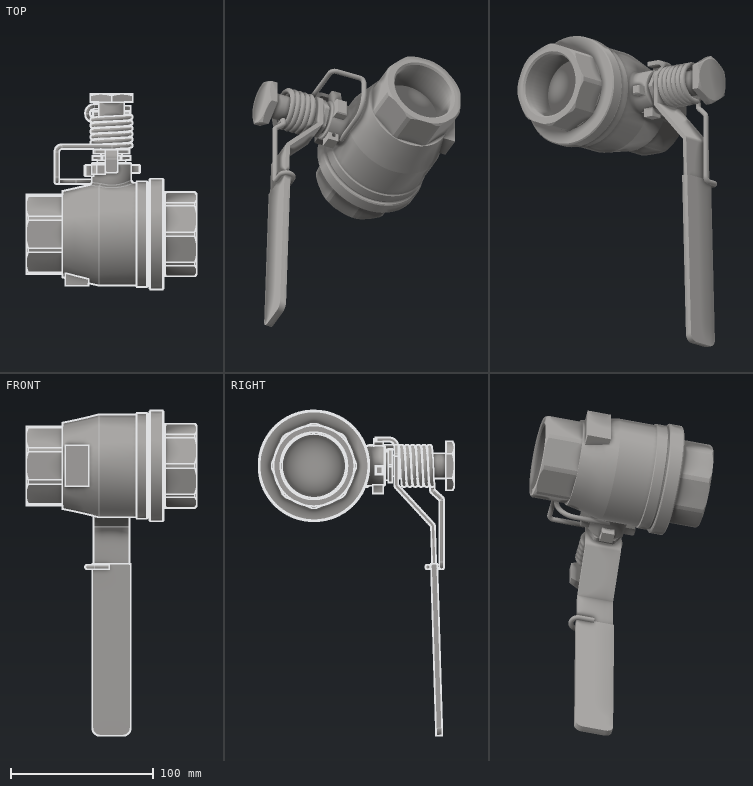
import cadquery as cq
import math


half_length = 60.0
octagon_width = 56.0
octagon_corner_radius = 29.7
octagon_half_step = 180 / 8
end_chamfer = 1.4
cone_start_x = -34.5
cone_start_radius = 30.4
barrel_start_x = -8.9
barrel_diameter = 72.5
ring_start_x = 17.3
ring_end_x = 25.5
ring_diameter = 74.5
ring_chamfer = 0.6
flange_start_x = 26.6
flange_end_x = 36.7
flange_diameter = 78.0
flange_chamfer = 0.8
neck_end_x = 37.9
neck_diameter = 57.0
bore_diameter = 44.85
bore_mouth_diameter = 47.3
bore_depth = 27.0

pad_start_x = -32.6
pad_end_x = -16.0
pad_half_height = 14.4
pad_face_y = -36.3

boss_diameter = 28.0
boss_top_y = 50.1
boss_root_fillet = 2.0
boss_top_chamfer = 0.6
lug_outer_y = 48.8
wing_half_height = 6.2
left_wing_end_x = -19.0
left_wing_inner_y = 40.6
right_wing_end_x = 20.3
right_wing_inner_y = 43.0
wing_chamfer = 0.8
stop_lug_foot_x = -boss_diameter / 2
stop_lug_start_x = -10.3
stop_lug_foot_z = 5.4
stop_lug_top_z = 19.2
stop_lug_inner_y = 42.0
spring_lug_width = 9.0
spring_lug_bottom_z = -19.5
spring_lug_inner_y = 41.2
spring_lug_hole_y = 44.4
spring_lug_hole_z = -15.0
spring_lug_hole_depth = 3.0

hexagon_half_step = 180 / 6
gland_diameter = 20.3
gland_nut_width = 24.0
gland_nut_corner_diameter = 27.0
gland_nut_bottom_y = 52.1
gland_nut_top_y = 55.1
stem_diameter = 14.95
sleeve_diameter = 18.0
sleeve_gap = 0.9
head_width = 30.0
head_thickness = 6.0
head_top_y = 98.81
head_chamfer_height = 1.3
head_chamfer_width = 2.6

lever_width = 25.5
lever_thickness = 3.0
lever_head_y = 57.9
head_shoulder_z = 6.9
head_corner_half_width = 11.3
head_corner_z = 8.9
tab_width = 9.0
tab_root_z = 15.0
tab_middle_z = 18.5
tab_end_y = 43.2
tab_bend_radius = 5.0
tab_corner_chamfer = 1.0
upper_bend_z = -14.0
lower_bend_y = 83.7
lower_bend_z = -42.0
lever_bend_radius = 2.0
lever_lean = math.radians(1.7)
grip_coating = 0.8
grip_top_z = -68.9
grip_bottom_z = -189.78
grip_corner_radius = 5.5

wire_diameter = 3.5
coil_radius = 13.2
coil_start_y = 61.5
coil_pitch = 3.95
coil_turns = 5.5
arm_bend_radius = 3.5
fixed_arm_x = -38.4
fixed_arm_y = 36.9
fixed_arm_z = -13.3
lever_arm_x = -3.7
lever_arm_y = 89.8
lever_arm_jog_top_z = -17.5
lever_arm_jog_bottom_z = -23.5
jog_bend_radius = 1.5
hook_z = -71.1
hook_left_x = -16.9
hook_front_y = 80.0
hook_end_x = -1.6
hook_corner_bend_radius = 3.6
hook_bend_radius = 4.8


def box_between(low, high):
    """Box from its lowest corner to its highest corner."""
    size = [b - a for a, b in zip(low, high)]
    return cq.Workplane("XY").box(*size, centered=False).translate(low)


def stem_disc(diameter, bottom_y, top_y):
    """Cylinder on the stem axis."""
    plane = cq.Workplane("XZ", origin=(0, bottom_y, 0))
    return plane.circle(diameter / 2).extrude(bottom_y - top_y)


def stem_hexagon(width, bottom_y, top_y, turn):
    """Hexagonal prism on the stem axis; turn 0 puts two flats square to the X axis."""
    plane = cq.Workplane("XZ", origin=(0, bottom_y, 0)).transformed(rotate=(0, 0, turn))
    return plane.polygon(6, width, circumscribed=True).extrude(bottom_y - top_y)


def bent_path(points, bend_radii):
    """Straight runs through the points, with a tangent arc at each inner point."""
    corners = [cq.Vector(*p) for p in points]
    edges = []
    start = corners[0]
    for before, corner, after, radius in zip(corners, corners[1:], corners[2:], bend_radii):
        back = (before - corner).normalized()
        ahead = (after - corner).normalized()
        half_angle = back.getAngle(ahead) / 2
        setback = radius / math.tan(half_angle)
        arc_start = corner + back * setback
        arc_end = corner + ahead * setback
        arc_middle = corner + (back + ahead).normalized() * (radius / math.sin(half_angle) - radius)
        edges.append(cq.Edge.makeLine(start, arc_start))
        edges.append(cq.Edge.makeThreePointArc(arc_start, arc_middle, arc_end))
        start = arc_end
    edges.append(cq.Edge.makeLine(start, corners[-1]))
    return cq.Workplane(cq.Wire.assembleEdges(edges))


def wire_rod(points, bend_radii):
    """Spring wire that starts along X and follows the bent path."""
    section = cq.Workplane("YZ", origin=points[0]).circle(wire_diameter / 2)
    return section.sweep(bent_path(points, bend_radii))


def wrench_octagon(start_x, end_x, outer_face, turn):
    """Octagon with trimmed corners and a conical chamfer at its outer end."""
    plane = cq.Workplane("YZ", origin=(start_x, 0, 0)).transformed(rotate=(0, 0, turn))
    octagon = plane.polygon(8, octagon_width, circumscribed=True).extrude(end_x - start_x)
    trim = cq.Workplane("YZ", origin=(start_x, 0, 0)).circle(octagon_corner_radius)
    trim = trim.extrude(end_x - start_x)
    return octagon.intersect(trim.faces(outer_face).chamfer(end_chamfer))


def make_barrel():
    """Turned middle of the body, from the cone to the neck behind the flange."""
    barrel_radius = barrel_diameter / 2
    ring_radius = ring_diameter / 2
    flange_radius = flange_diameter / 2
    neck_radius = neck_diameter / 2
    profile = [
        (cone_start_x, 0),
        (cone_start_x, cone_start_radius),
        (barrel_start_x, barrel_radius),
        (ring_start_x, barrel_radius),
        (ring_start_x + ring_chamfer, ring_radius),
        (ring_end_x - ring_chamfer, ring_radius),
        (ring_end_x, barrel_radius),
        (flange_start_x, barrel_radius),
        (flange_start_x, flange_radius - flange_chamfer),
        (flange_start_x + flange_chamfer, flange_radius),
        (flange_end_x - flange_chamfer, flange_radius),
        (flange_end_x, flange_radius - flange_chamfer),
        (flange_end_x, neck_radius),
        (neck_end_x, neck_radius),
        (neck_end_x, 0),
    ]
    return cq.Workplane("XY").polyline(profile).close().revolve(360, (0, 0, 0), (1, 0, 0))


def make_bore(side):
    """Blind threaded-end bore with a chamfered mouth; side is -1 or +1 along X."""
    bore_radius = bore_diameter / 2
    mouth_radius = bore_mouth_diameter / 2
    mouth_depth = mouth_radius - bore_radius
    profile = [
        (side * half_length, 0),
        (side * half_length, mouth_radius),
        (side * (half_length - mouth_depth), bore_radius),
        (side * (half_length - bore_depth), bore_radius),
        (side * (half_length - bore_depth), 0),
    ]
    return cq.Workplane("XY").polyline(profile).close().revolve(360, (0, 0, 0), (1, 0, 0))


def make_body():
    """Body with its stem boss, pad, wrench octagons and bores."""
    boss = stem_disc(boss_diameter, 0, boss_top_y).faces(">Y").chamfer(boss_top_chamfer)
    body = make_barrel().union(boss)
    margin = boss_root_fillet / 4
    reach = boss_diameter / 2 + margin
    root = cq.selectors.BoxSelector(
        (-reach, cone_start_radius, -reach),
        (reach, barrel_diameter / 2 + margin, reach),
        boundingbox=True,
    )
    boss_root = cq.selectors.SubtractSelector(root, cq.selectors.TypeSelector("LINE"))
    body = body.edges(boss_root).fillet(boss_root_fillet)
    pad = box_between(
        (pad_start_x, pad_face_y, -pad_half_height), (pad_end_x, 0, pad_half_height)
    )
    body = body.union(pad)
    body = body.union(wrench_octagon(-half_length, cone_start_x, "<X", 0))
    body = body.union(wrench_octagon(neck_end_x, half_length, ">X", octagon_half_step))
    return body.cut(make_bore(-1)).cut(make_bore(1))


def make_lugs():
    """Side wings, lever stop and spring lug around the top of the boss."""
    stop_lug_end_x = -tab_width / 2
    left_wing = box_between(
        (left_wing_end_x, left_wing_inner_y, -wing_half_height), (0, lug_outer_y, wing_half_height)
    )
    right_wing = box_between(
        (0, right_wing_inner_y, -wing_half_height), (right_wing_end_x, lug_outer_y, 0)
    )
    left_wing = left_wing.faces("<X").chamfer(wing_chamfer)
    right_wing = right_wing.faces(">X").chamfer(wing_chamfer)
    stop_outline = [
        (stop_lug_foot_x, 0),
        (stop_lug_foot_x, stop_lug_foot_z),
        (stop_lug_start_x, stop_lug_top_z),
        (stop_lug_end_x, stop_lug_top_z),
        (stop_lug_end_x, 0),
    ]
    stop_lug = cq.Workplane("XZ", origin=(0, stop_lug_inner_y, 0)).polyline(stop_outline).close()
    stop_lug = stop_lug.extrude(stop_lug_inner_y - lug_outer_y)
    spring_lug = box_between(
        (-spring_lug_width / 2, spring_lug_inner_y, spring_lug_bottom_z),
        (spring_lug_width / 2, lug_outer_y, 0),
    )
    hole = cq.Workplane("YZ", origin=(-spring_lug_width / 2, spring_lug_hole_y, spring_lug_hole_z))
    hole = hole.circle(wire_diameter / 2).extrude(spring_lug_hole_depth)
    return left_wing.union(right_wing).union(stop_lug).union(spring_lug.cut(hole))


def make_stem():
    """Gland, gland nut, stem, spring sleeve and hexagon head, stacked along Y."""
    sleeve_bottom_y = lever_head_y + lever_thickness / 2 + sleeve_gap
    head_bottom_y = head_top_y - head_thickness
    stem = stem_disc(gland_diameter, boss_top_y, gland_nut_bottom_y)
    nut = stem_hexagon(gland_nut_width, gland_nut_bottom_y, gland_nut_top_y, hexagon_half_step)
    nut_trim = stem_disc(gland_nut_corner_diameter, gland_nut_bottom_y, gland_nut_top_y)
    stem = stem.union(nut.intersect(nut_trim))
    stem = stem.union(stem_disc(stem_diameter, gland_nut_top_y, sleeve_bottom_y))
    stem = stem.union(stem_disc(sleeve_diameter, sleeve_bottom_y, head_bottom_y))
    head = stem_hexagon(head_width, head_bottom_y, head_top_y, 0)
    across_corners = head_width / math.cos(math.radians(hexagon_half_step))
    head_trim = stem_disc(across_corners, head_bottom_y, head_top_y)
    head_trim = head_trim.faces(">Y").chamfer(head_chamfer_height, head_chamfer_width)
    return stem.union(head.intersect(head_trim))


def lever_middle_y(z):
    """Y of the handle's mid-plane at height z, below the lower bend."""
    return lower_bend_y + (lower_bend_z - z) * math.tan(lever_lean)


def make_lever_head():
    """Flat pointed plate on the stem with the stop tab folded over the boss."""
    half_width = lever_width / 2
    half_tab = tab_width / 2
    bottom_z = upper_bend_z / 2
    outline = [
        (-half_width, bottom_z),
        (-half_width, head_shoulder_z),
        (-head_corner_half_width, head_corner_z),
        (-half_tab, tab_root_z),
        (half_tab, tab_root_z),
        (head_corner_half_width, head_corner_z),
        (half_width, head_shoulder_z),
        (half_width, bottom_z),
    ]
    plane = cq.Workplane("XZ", origin=(0, lever_head_y - lever_thickness / 2, 0))
    plate = plane.polyline(outline).close().extrude(-lever_thickness)
    tab_points = [(0, lever_head_y, 0), (0, lever_head_y, tab_middle_z), (0, tab_end_y, tab_middle_z)]
    tab = cq.Workplane("XY", origin=tab_points[0]).rect(tab_width, lever_thickness)
    tab = tab.sweep(bent_path(tab_points, [tab_bend_radius]))
    tab = tab.faces("<Y").edges("|Z").chamfer(tab_corner_chamfer)
    return plate.union(tab)


def make_lever():
    """Cranked flat lever with a coated grip."""
    lowest_z = grip_bottom_z + (lever_thickness / 2 + grip_coating) * math.sin(lever_lean)
    grip_top = (0, lever_middle_y(grip_top_z), grip_top_z)
    grip_bottom = (0, lever_middle_y(lowest_z), lowest_z)
    strip_points = [
        (0, lever_head_y, 0),
        (0, lever_head_y, upper_bend_z),
        (0, lower_bend_y, lower_bend_z),
        (0, lever_middle_y(grip_top_z - grip_corner_radius), grip_top_z - grip_corner_radius),
    ]
    strip = cq.Workplane("XY", origin=strip_points[0]).rect(lever_width, lever_thickness)
    strip = strip.sweep(bent_path(strip_points, [lever_bend_radius, lever_bend_radius]))

    along = cq.Vector(*grip_bottom) - cq.Vector(*grip_top)
    plane = cq.Workplane(cq.Plane(origin=grip_top, xDir=(1, 0, 0), normal=along.toTuple()))
    grip = plane.rect(lever_width + 2 * grip_coating, lever_thickness + 2 * grip_coating)
    grip = grip.extrude(along.Length)
    end_corners = grip.faces("<Z").edges("<X or >X")
    grip = end_corners.fillet(grip_corner_radius)
    return make_lever_head().union(strip).union(grip)


def make_spring():
    """Torsion spring: coil round the sleeve, one arm on the boss, one hooked round the lever."""
    coil_length = coil_pitch * coil_turns
    helix = cq.Wire.makeHelix(coil_pitch, coil_length, coil_radius)
    section = cq.Workplane("XZ", origin=(coil_radius, 0, 0)).circle(wire_diameter / 2)
    coil = section.sweep(cq.Workplane(helix), isFrenet=True)
    coil = coil.rotate((0, 0, 0), (1, 1, 1), -120).translate((0, coil_start_y, 0))

    fixed_arm = wire_rod(
        [
            (0, coil_start_y, coil_radius),
            (fixed_arm_x, coil_start_y, coil_radius),
            (fixed_arm_x, fixed_arm_y, coil_radius),
            (fixed_arm_x, fixed_arm_y, fixed_arm_z),
            (0, fixed_arm_y, fixed_arm_z),
        ],
        [arm_bend_radius, arm_bend_radius, -fixed_arm_z],
    )

    coil_end_y = coil_start_y + coil_length
    lever_arm = wire_rod(
        [
            (0, coil_end_y, -coil_radius),
            (lever_arm_x, coil_end_y, -coil_radius),
            (lever_arm_x, coil_end_y, lever_arm_jog_top_z),
            (lever_arm_x, lever_arm_y, lever_arm_jog_bottom_z),
            (lever_arm_x, lever_arm_y, hook_z),
            (hook_left_x, lever_arm_y, hook_z),
            (hook_left_x, hook_front_y, hook_z),
            (hook_end_x, hook_front_y, hook_z),
        ],
        [
            jog_bend_radius,
            jog_bend_radius,
            jog_bend_radius,
            hook_corner_bend_radius,
            hook_bend_radius,
            hook_bend_radius,
        ],
    )
    return coil.union(fixed_arm).union(lever_arm)


result = make_body().union(make_lugs()).union(make_stem()).union(make_lever()).union(make_spring())